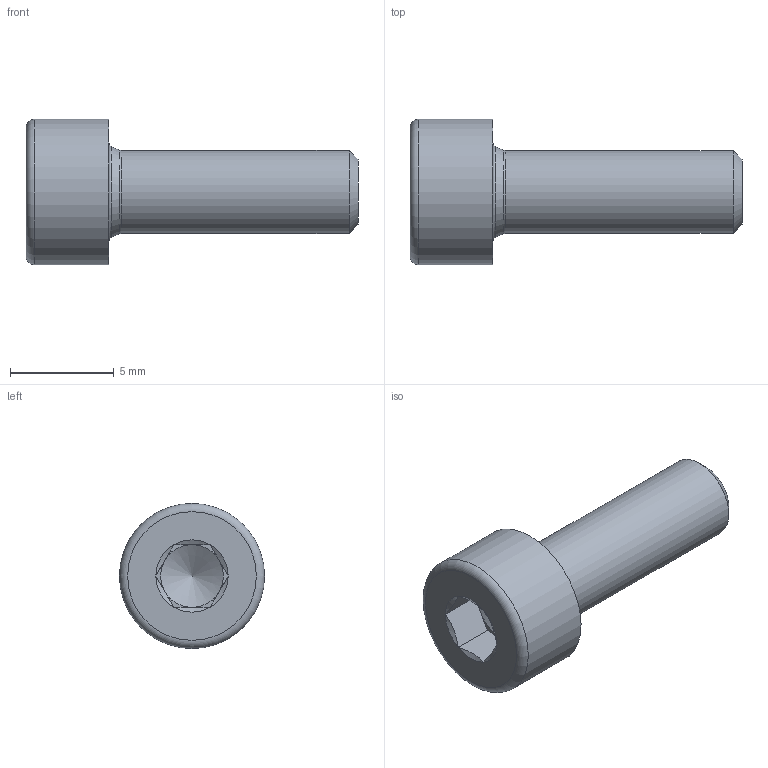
import cadquery as cq
import math


head_diameter = 7.0
head_height = 4.0
head_edge_radius = 0.4

shank_diameter = 4.0
shank_length = 12.0
thread_pitch = 0.7
thread_depth_ratio = 0.6134
tip_chamfer = thread_depth_ratio * thread_pitch

transition_diameter = 4.7
transition_length = 0.6
transition_radius = 0.2

socket_sides = 6
socket_across_flats = 3.02
socket_depth = 2.0
socket_entry_angle = 120.0
socket_floor_angle = 120.0

head_radius = head_diameter / 2
shank_radius = shank_diameter / 2
head_top = -head_height
socket_corner_radius = socket_across_flats / 2 / math.cos(math.pi / socket_sides)


def point_on_arc(center, radius, angle):
    """Point at an angle from +X about a center in the (axial, radial) plane."""
    return (center[0] + radius * math.cos(angle), center[1] + radius * math.sin(angle))


def revolve_about_axis(profile):
    return profile.close().revolve(360, (0, 0, 0), (1, 0, 0))


def make_body():
    """Head, transition and shank as one turned profile."""
    head_arc_center = (transition_radius, transition_diameter / 2)
    shank_arc_center = (transition_length, shank_radius + transition_radius)
    slope = math.atan2(
        shank_arc_center[1] - head_arc_center[1],
        shank_arc_center[0] - head_arc_center[0],
    )
    head_end = math.pi
    shank_end = 1.5 * math.pi
    cone_normal = shank_end + slope

    def head_arc(angle):
        return point_on_arc(head_arc_center, transition_radius, angle)

    def shank_arc(angle):
        return point_on_arc(shank_arc_center, transition_radius, angle)

    edge_center = (head_top + head_edge_radius, head_radius - head_edge_radius)
    profile = (
        cq.Workplane("XY")
        .moveTo(head_top, 0)
        .lineTo(head_top, edge_center[1])
        .threePointArc(
            point_on_arc(edge_center, head_edge_radius, 0.75 * math.pi),
            (edge_center[0], head_radius),
        )
        .lineTo(0, head_radius)
        .lineTo(*head_arc(head_end))
        .threePointArc(head_arc((head_end + cone_normal) / 2), head_arc(cone_normal))
        .lineTo(*shank_arc(cone_normal))
        .threePointArc(shank_arc((cone_normal + shank_end) / 2), shank_arc(shank_end))
        .lineTo(shank_length - tip_chamfer, shank_radius)
        .lineTo(shank_length, shank_radius - tip_chamfer)
        .lineTo(shank_length, 0)
    )
    return revolve_about_axis(profile)


def make_hexagon():
    """Hexagonal prism with corners on the Y axis and flats facing Z."""
    return (
        cq.Workplane("YZ", origin=(head_top, 0, 0))
        .polygon(socket_sides, 2 * socket_corner_radius)
        .extrude(socket_depth)
    )


def make_cone(base_x, base_radius, depth):
    """Cone with its base at base_x, narrowing toward +X."""
    profile = (
        cq.Workplane("XY")
        .moveTo(base_x, 0)
        .lineTo(base_x, base_radius)
        .lineTo(base_x + depth, 0)
    )
    return revolve_about_axis(profile)


def make_socket():
    """Hexagon with a countersunk entry and a conical floor."""
    entry_depth = socket_corner_radius / math.tan(math.radians(socket_entry_angle / 2))
    entry = make_cone(head_top, socket_corner_radius, entry_depth)
    floor_radius = socket_across_flats / 2
    floor_depth = floor_radius / math.tan(math.radians(socket_floor_angle / 2))
    floor = make_cone(head_top + socket_depth, floor_radius, floor_depth)
    return make_hexagon().union(entry).union(floor)


result = make_body().cut(make_socket())